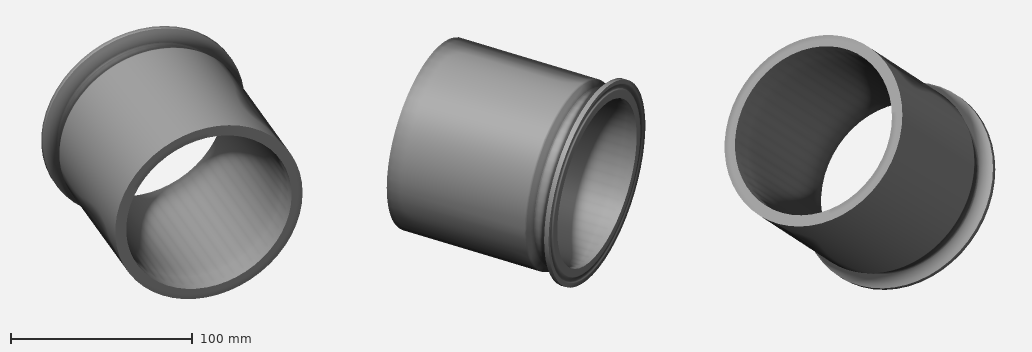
import cadquery as cq
import math

length = 101.5
bore_radius = 97.5 / 2
neck_radius = 102.9 / 2
body_radius = 110.5 / 2
flange_radius = 118.9 / 2

rim_width = 2.7
flange_taper = math.radians(20)
neck_round = 1.1

shoulder_start = 12.6
shoulder_end = 16.3
shoulder_foot_round = 1.0
shoulder_top_round = 1.4

edge_tolerance = 0.06

groove_radius = 55.3
groove_half_width = 2.0
groove_floor_round = 1.7
groove_lip_round = 0.8

flange_back = rim_width + (flange_radius - neck_radius) * math.tan(flange_taper)


def ring_edges(blank, x, radius):
    """Select the circular edge of the given radius at the given place along the axis."""
    return blank.edges(
        cq.selectors.BoxSelector(
            (x - edge_tolerance, -radius - edge_tolerance, -radius - edge_tolerance),
            (x + edge_tolerance, radius + edge_tolerance, radius + edge_tolerance),
            boundingbox=True,
        )
    )


def outer_blank():
    """Solid of revolution with the flange, neck and body; the bends in its profile are rounded."""
    blank = (
        cq.Workplane("XY")
        .moveTo(0, 0)
        .lineTo(0, flange_radius)
        .lineTo(rim_width, flange_radius)
        .lineTo(flange_back, neck_radius)
        .lineTo(shoulder_start, neck_radius)
        .lineTo(shoulder_end, body_radius)
        .lineTo(length, body_radius)
        .lineTo(length, 0)
        .close()
        .revolve(360, (0, 0, 0), (1, 0, 0))
    )
    roundings = [
        (flange_back, neck_radius, neck_round),
        (shoulder_start, neck_radius, shoulder_foot_round),
        (shoulder_end, body_radius, shoulder_top_round),
    ]
    for x, radius, rounding in roundings:
        blank = ring_edges(blank, x, radius).fillet(rounding)
    return blank


def gasket_groove():
    """Ring to cut from the clamp face."""
    center_spacing = groove_floor_round + groove_lip_round
    wall_angle = math.asin(groove_half_width / center_spacing)
    floor_center = groove_lip_round - center_spacing * math.cos(wall_angle)
    floor_depth = floor_center + groove_floor_round
    blend_offset = groove_floor_round * math.sin(wall_angle)
    blend_depth = floor_center + groove_floor_round * math.cos(wall_angle)
    lip_mid_offset = groove_half_width - groove_lip_round * math.sin(wall_angle / 2)
    lip_mid_depth = groove_lip_round * (1 - math.cos(wall_angle / 2))
    return (
        cq.Workplane("XY")
        .moveTo(0, groove_radius - groove_half_width)
        .threePointArc(
            (lip_mid_depth, groove_radius - lip_mid_offset),
            (blend_depth, groove_radius - blend_offset),
        )
        .threePointArc(
            (floor_depth, groove_radius),
            (blend_depth, groove_radius + blend_offset),
        )
        .threePointArc(
            (lip_mid_depth, groove_radius + lip_mid_offset),
            (0, groove_radius + groove_half_width),
        )
        .close()
        .revolve(360, (0, 0, 0), (1, 0, 0))
    )


def bore():
    """Straight through hole along the axis."""
    return cq.Workplane("YZ").circle(bore_radius).extrude(length)


result = outer_blank().cut(gasket_groove()).cut(bore())